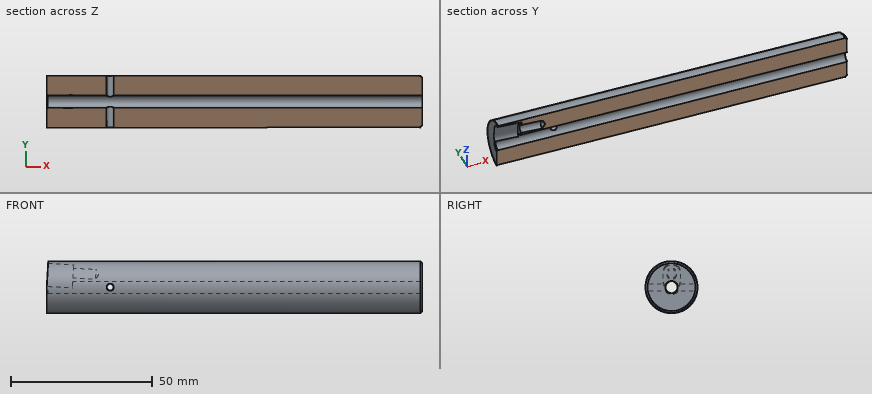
import cadquery as cq
import math

LENGTH = 133
RADIUS = 9.25
END_CHAMFER = 0.8

FACE_SETBACK = 0.5
LEAN_ANGLE = math.degrees(math.atan(FACE_SETBACK / RADIUS))

BORE_DIAMETER = 4.3
BORE_CHAMFER = 0.4

POCKET_WIDTH = 6.1
POCKET_TOP = 8.5
POCKET_BOTTOM = -0.5
POCKET_DEPTH = 9.0

BLIND_DIAMETER = 3.5
BLIND_HEIGHT = 5.6
BLIND_DEPTH = 8
DRILL_POINT_ANGLE = 118

CROSS_DIAMETER = 2.4
CROSS_X = 22.5


def make_bar():
    bar = cq.Workplane("YZ").circle(RADIUS).extrude(LENGTH)
    return bar.faces(">X").edges().chamfer(END_CHAMFER)


def lean_cut():
    """Wedge between the upright end plane and the leaning face."""
    return (
        cq.Workplane("XZ")
        .polyline([(0, 0), (FACE_SETBACK, RADIUS), (0, RADIUS)])
        .close()
        .extrude(RADIUS, both=True)
    )


def square_to_face(body):
    """Tilt a body about the Y axis so that +X points into the leaning face."""
    return body.rotate((0, 0, 0), (0, 1, 0), LEAN_ANGLE)


def pocket():
    middle = (POCKET_TOP + POCKET_BOTTOM) / 2
    body = (
        cq.Workplane("YZ")
        .center(0, middle)
        .slot2D(POCKET_TOP - POCKET_BOTTOM, POCKET_WIDTH, 90)
        .extrude(POCKET_DEPTH)
    )
    return square_to_face(body)


def blind_hole():
    radius = BLIND_DIAMETER / 2
    shoulder = POCKET_DEPTH + BLIND_DEPTH
    tip = shoulder + radius / math.tan(math.radians(DRILL_POINT_ANGLE / 2))
    body = (
        cq.Workplane("XZ")
        .polyline([(0, 0), (0, radius), (shoulder, radius), (tip, 0)])
        .close()
        .revolve(360, (0, 0, 0), (1, 0, 0))
        .translate((0, 0, BLIND_HEIGHT))
    )
    return square_to_face(body)


def bore():
    mouth_radius = BORE_DIAMETER / 2 + BORE_CHAMFER
    mouth = cq.Solid.makeCone(
        mouth_radius, BORE_DIAMETER / 2, BORE_CHAMFER, cq.Vector(0, 0, 0), cq.Vector(1, 0, 0)
    )
    return cq.Workplane("YZ").circle(BORE_DIAMETER / 2).extrude(LENGTH).union(cq.Workplane(mouth))


def cross_hole():
    return (
        cq.Workplane("XZ")
        .center(CROSS_X, 0)
        .circle(CROSS_DIAMETER / 2)
        .extrude(RADIUS, both=True)
    )


result = make_bar()
for cutter in (lean_cut(), pocket(), blind_hole(), bore(), cross_hole()):
    result = result.cut(cutter)